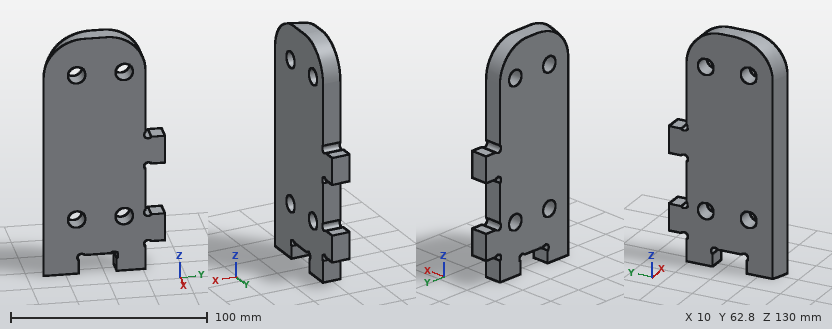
import cadquery as cq

thickness = 10.0
depth = 62.8
height = 130.0
corner_radius = 20.0

tab_length = thickness
tab_width = 15.0
tab_bottoms = (15.1, 58.1)
body_depth = depth - tab_length

slot_width = 19.5
slot_height = thickness
slot_back = body_depth - tab_width
slot_front = slot_back - slot_width

relief_radius = 2.1
relief_offset = 1.3

hole_diameter = 9.0
hole_rows = (30.0, 110.0)
hole_columns = (17.2, 41.7)

front_radius = 60.0
front_axis_x = thickness + 14.3
front_axis_y = (front_radius**2 - (front_axis_x - thickness) ** 2) ** 0.5


def block(y_start, z_start, y_size, z_size):
    """Box through the full plate thickness."""
    return cq.Workplane("XY").box(thickness, y_size, z_size, centered=False).translate((0, y_start, z_start))


def bores(centers, diameter):
    """Round cutters along X at the given (y, z) centres."""
    return cq.Workplane("YZ").pushPoints(centers).circle(diameter / 2).extrude(thickness)


def make_body():
    """Plate with a rounded top back corner and a curved front edge blended into the top."""
    plate = block(0, 0, body_depth, height)
    plate = plate.edges("|X and >Y and >Z").fillet(corner_radius)
    front_cylinder = (
        cq.Workplane("XY")
        .center(front_axis_x, front_axis_y)
        .circle(front_radius)
        .extrude(height)
        .faces(">Z")
        .edges()
        .fillet(corner_radius)
    )
    return plate.intersect(front_cylinder)


def relief_centers():
    """Centres for the tab roots and the two upper slot corners."""
    tab_y = body_depth + relief_offset
    slot_z = slot_height - relief_offset
    centers = [(slot_front + relief_offset, slot_z), (slot_back - relief_offset, slot_z)]
    for bottom in tab_bottoms:
        centers.append((tab_y, bottom - relief_offset))
        centers.append((tab_y, bottom + tab_width + relief_offset))
    return centers


result = make_body()
for tab_bottom in tab_bottoms:
    result = result.union(block(body_depth, tab_bottom, tab_length, tab_width))
result = result.cut(block(slot_front, 0, slot_width, slot_height))
result = result.cut(bores(relief_centers(), 2 * relief_radius))
result = result.cut(bores([(y, z) for y in hole_columns for z in hole_rows], hole_diameter))